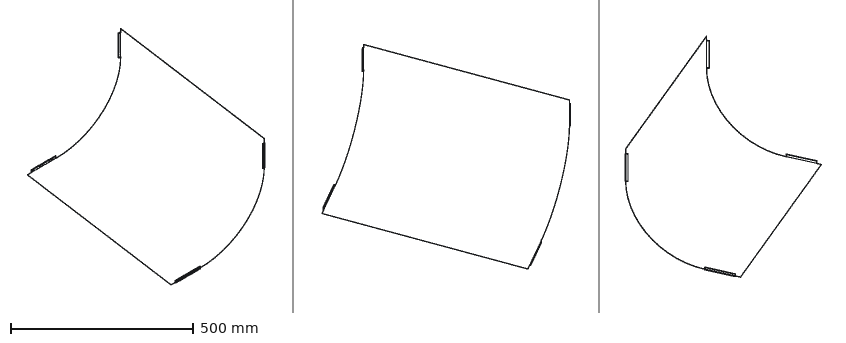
import cadquery as cq
import math

overall_length = 605.0
side = 339.5
flat_width = 105.0
thickness = 1.0
tab_thickness = 2.7
tab_height = 8.0
tab_length = 90.0

sheet_length = overall_length - 2 * tab_thickness
sheet_end = sheet_length / 2
curve_radius = side - flat_width
diagonal = math.sqrt(0.5)


def make_sheet():
    """Quarter-round sheet with a flat strip on the floor and one on the back wall."""
    center_y = -curve_radius
    center_z = curve_radius
    inner_radius = curve_radius - thickness
    return (
        cq.Workplane("YZ", origin=(-sheet_end, 0, 0))
        .moveTo(-side, 0)
        .lineTo(center_y, 0)
        .threePointArc(
            (center_y + curve_radius * diagonal, center_z - curve_radius * diagonal),
            (0, center_z),
        )
        .lineTo(0, side)
        .lineTo(-thickness, side)
        .lineTo(-thickness, center_z)
        .threePointArc(
            (center_y + inner_radius * diagonal, center_z - inner_radius * diagonal),
            (center_y, thickness),
        )
        .lineTo(-side, thickness)
        .close()
        .extrude(sheet_length)
    )


def make_floor_tab():
    """Upright tab on the +X edge of the floor strip."""
    return cq.Workplane("XY").box(tab_thickness, tab_length, tab_height, centered=False).translate(
        (sheet_end, -curve_radius - tab_length, 0)
    )


floor_tab = make_floor_tab()
wall_tab = floor_tab.rotate((0, 0, 0), (1, 0, 0), 90).mirror("XY")

result = make_sheet()
for tab in (floor_tab, wall_tab):
    result = result.union(tab).union(tab.mirror("YZ"))